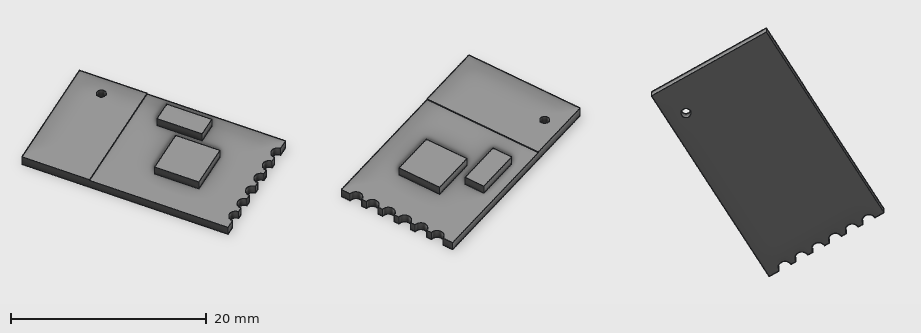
import cadquery as cq

BOARD_LENGTH = 23.3
BOARD_WIDTH = 13.7
BOARD_THICKNESS = 1.0
LEFT_EDGE = -BOARD_LENGTH / 2
RIGHT_EDGE = BOARD_LENGTH / 2
BACK_EDGE = BOARD_WIDTH / 2

LAYER_LENGTH = 7.65
LAYER_THICKNESS = 0.1

HOLE_DIAMETER = 1.0
HOLE_FROM_LEFT = 3.45
HOLE_FROM_BACK = 2.05

OVERALL_HEIGHT = 2.0
CRYSTAL_LENGTH = 5.1
CRYSTAL_WIDTH = 2.3
CRYSTAL_FROM_LEFT = 10.5
CRYSTAL_FROM_BACK = 1.35
CHIP_SIDE = 5.0
CHIP_FROM_LEFT = 13.25
CHIP_FROM_BACK = 5.0

PAD_COUNT = 6
PAD_PITCH = 2.0
PAD_RADIUS = 0.7
PAD_ROW_CENTRE_Y = -0.05


def block(from_left, from_back, length, width, bottom, top):
    """Box placed by its distances from the left and back board edges."""
    corner = (LEFT_EDGE + from_left, BACK_EDGE - from_back - width, bottom)
    return cq.Workplane("XY").box(length, width, top - bottom, centered=False).translate(corner)


def through_cylinders(centres, radius):
    """Vertical cutters tall enough to pass through the whole board."""
    return cq.Workplane("XY").pushPoints(centres).circle(radius).extrude(OVERALL_HEIGHT)


def bare_board():
    base = block(0, 0, BOARD_LENGTH, BOARD_WIDTH, 0, BOARD_THICKNESS)
    layer_top = BOARD_THICKNESS + LAYER_THICKNESS
    layer = block(0, 0, LAYER_LENGTH, BOARD_WIDTH, BOARD_THICKNESS, layer_top)
    return base.union(layer)


def antenna_hole():
    centre = (LEFT_EDGE + HOLE_FROM_LEFT, BACK_EDGE - HOLE_FROM_BACK)
    return through_cylinders([centre], HOLE_DIAMETER / 2)


def pad_notches():
    first_y = PAD_ROW_CENTRE_Y - PAD_PITCH * (PAD_COUNT - 1) / 2
    centres = [(RIGHT_EDGE, first_y + i * PAD_PITCH) for i in range(PAD_COUNT)]
    return through_cylinders(centres, PAD_RADIUS)


def crystal():
    return block(
        CRYSTAL_FROM_LEFT, CRYSTAL_FROM_BACK, CRYSTAL_LENGTH, CRYSTAL_WIDTH, BOARD_THICKNESS, OVERALL_HEIGHT
    )


def chip():
    return block(CHIP_FROM_LEFT, CHIP_FROM_BACK, CHIP_SIDE, CHIP_SIDE, BOARD_THICKNESS, OVERALL_HEIGHT)


result = bare_board().cut(antenna_hole()).cut(pad_notches()).union(crystal()).union(chip())